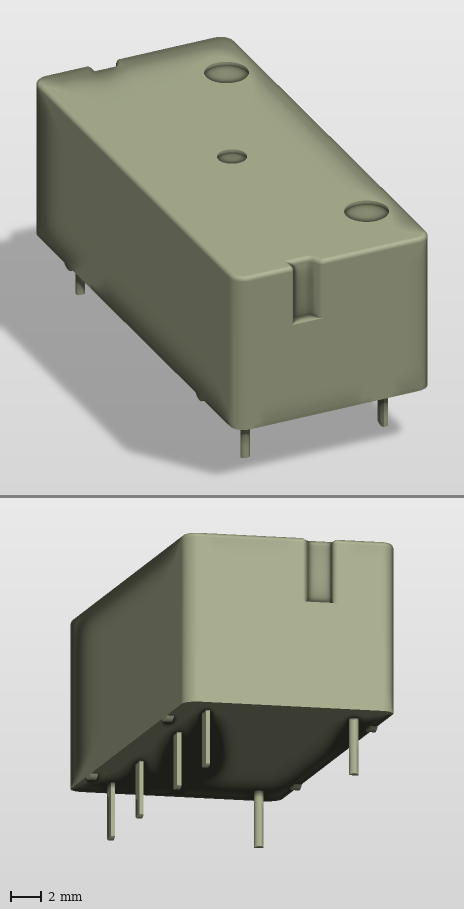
import cadquery as cq

length = 31.5
width = 14.5
height = 11.5
corner_radius = 1.0
rim_radius = 0.3

notch_depth = 0.82
notch_height = 4.35
notch_front_y = -2.93
notch_inner_back_y = -1.42
notch_outer_back_y = -0.98
notch_corner_radius = 0.3

recess_depth = 0.3
large_recess_diameter = 3.0
large_recess_x = 10.77
large_recess_y = 4.75
small_recess_diameter = 2.02

bump_x = 10.1
bump_chord = 1.2
bump_drop = 0.3
bump_thickness = 0.5

pin_length = 3.8
flat_pin_y = 5.05
round_pin_y = -5.1
outer_pin_x = 12.65
inner_pin_x = 5.05
flat_pin_width = 1.0
flat_pin_thickness = 0.3
tip_height = 0.2
round_pin_diameter = 0.63


def make_notch(side):
    """Notch with one slanted wall; side is -1 or +1 for the end in X."""
    end_x = side * length / 2
    inner_x = side * (length / 2 - notch_depth)
    slant_corner = (inner_x, notch_inner_back_y, height - notch_height / 2)
    return (
        cq.Workplane("XY")
        .workplane(offset=height - notch_height)
        .moveTo(end_x, notch_front_y)
        .lineTo(inner_x, notch_front_y)
        .lineTo(inner_x, notch_inner_back_y)
        .lineTo(end_x, notch_outer_back_y)
        .close()
        .extrude(notch_height)
        .edges(cq.selectors.NearestToPointSelector(slant_corner))
        .fillet(notch_corner_radius)
    )


def make_bump(side_x, side_y):
    """Circular segment hanging below a long wall, flush with its outer face."""
    outer_y = side_y * width / 2
    center_x = side_x * bump_x
    return (
        cq.Workplane("XZ", origin=(center_x, outer_y, 0))
        .moveTo(-bump_chord / 2, 0)
        .threePointArc((0, -bump_drop), (bump_chord / 2, 0))
        .close()
        .extrude(side_y * bump_thickness)
    )


def make_housing():
    body = (
        cq.Workplane("XY")
        .box(length, width, height, centered=(True, True, False))
        .edges("|Z")
        .fillet(corner_radius)
    )
    for side in (-1, 1):
        body = body.cut(make_notch(side))

    mouth_edges = cq.Workplane("XY")
    for side in (-1, 1):
        for mouth_y in (notch_front_y, notch_outer_back_y):
            mouth_point = (side * length / 2, mouth_y, height - notch_height / 2)
            mouth_edges = mouth_edges.add(body.edges(cq.selectors.NearestToPointSelector(mouth_point)))
    body = body.faces(">Z").edges().add(mouth_edges).fillet(rim_radius)

    top = cq.Workplane("XY").workplane(offset=height - recess_depth)
    large_centers = [(-large_recess_x, large_recess_y), (large_recess_x, large_recess_y)]
    body = body.cut(top.pushPoints(large_centers).circle(large_recess_diameter / 2).extrude(recess_depth))
    body = body.cut(top.circle(small_recess_diameter / 2).extrude(recess_depth))

    for side_x in (-1, 1):
        for side_y in (-1, 1):
            body = body.union(make_bump(side_x, side_y))
    return body


def make_arched_blade(x, y, blade_width, thickness):
    """Upright blade below the housing, with a tip arched across its width."""
    half_width = blade_width / 2
    shoulder_z = tip_height - pin_length
    return (
        cq.Workplane("XZ", origin=(x, y, 0))
        .moveTo(-half_width, 0)
        .lineTo(-half_width, shoulder_z)
        .threePointArc((0, -pin_length), (half_width, shoulder_z))
        .lineTo(half_width, 0)
        .close()
        .extrude(thickness / 2, both=True)
    )


def make_flat_pin(x):
    """Flat blade pin with an arched tip."""
    return make_arched_blade(x, flat_pin_y, flat_pin_width, flat_pin_thickness)


def make_round_pin(x):
    """Round pin whose tip is arched like that of the flat pins."""
    rod = cq.Workplane("XY", origin=(x, round_pin_y, 0)).circle(round_pin_diameter / 2).extrude(-pin_length)
    tip_shape = make_arched_blade(x, round_pin_y, flat_pin_width, round_pin_diameter)
    return rod.intersect(tip_shape)


housing = make_housing()
flat_pins = [make_flat_pin(x) for x in (-outer_pin_x, -inner_pin_x, inner_pin_x, outer_pin_x)]
round_pins = [make_round_pin(x) for x in (-outer_pin_x, outer_pin_x)]

result = cq.Compound.makeCompound([housing.val(), *[pin.val() for pin in flat_pins + round_pins]])